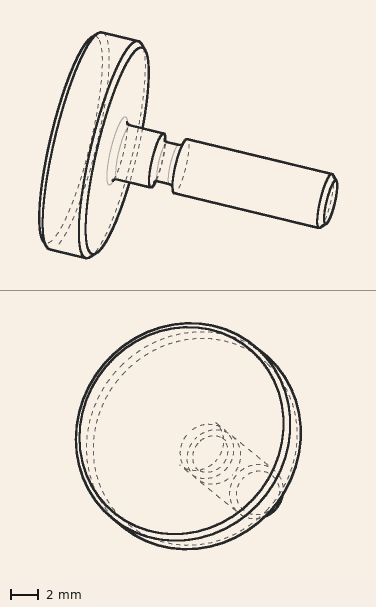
import cadquery as cq
import math

total_length = 19.5
head_diameter = 16.0
head_thickness = 3.5
shank_diameter = 4.0

head_chamfer = 0.39
tip_chamfer = 0.39
neck_fillet = 0.5

groove_diameter = 2.9
groove_start = 6.5
groove_width = 1.75
groove_fillet = 0.4
far_wall_angle = 70.0
cut_clearance = 0.2

head_radius = head_diameter / 2
shank_radius = shank_diameter / 2


def make_head():
    """Disc with both rims chamfered."""
    head = cq.Workplane("YZ").circle(head_radius).extrude(head_thickness)
    return head.edges().chamfer(head_chamfer)


def make_shank():
    """Pin through the head centre, chamfered at its free end."""
    shank = cq.Workplane("YZ").circle(shank_radius).extrude(total_length)
    return shank.faces(">X").edges().chamfer(tip_chamfer)


def make_neck_fillet():
    """Ring with a concave arc that blends the shank into the head."""
    centre_x = head_thickness + neck_fillet
    centre_radius = shank_radius + neck_fillet
    diagonal = neck_fillet / math.sqrt(2)
    return (
        cq.Workplane("XY")
        .moveTo(head_thickness, 0)
        .lineTo(head_thickness, centre_radius)
        .threePointArc((centre_x - diagonal, centre_radius - diagonal), (centre_x, shank_radius))
        .lineTo(centre_x, 0)
        .close()
        .revolve(360, (0, 0, 0), (1, 0, 0))
    )


def make_groove():
    """Ring to cut away: square near wall, sloped far wall, rounded floor corners."""
    floor_radius = groove_diameter / 2
    outer_radius = shank_radius + cut_clearance
    slope = math.tan(math.radians(far_wall_angle))
    groove_end = groove_start + groove_width
    floor_end = groove_end - (shank_radius - floor_radius) / slope
    outer_end = groove_end + cut_clearance / slope
    ring = (
        cq.Workplane("XY")
        .moveTo(groove_start, floor_radius)
        .lineTo(floor_end, floor_radius)
        .lineTo(outer_end, outer_radius)
        .lineTo(groove_start, outer_radius)
        .close()
        .revolve(360, (0, 0, 0), (1, 0, 0))
    )
    floor_edges = ring.edges(cq.selectors.RadiusNthSelector(0))
    return floor_edges.fillet(groove_fillet)


result = make_head().union(make_shank()).union(make_neck_fillet()).cut(make_groove())